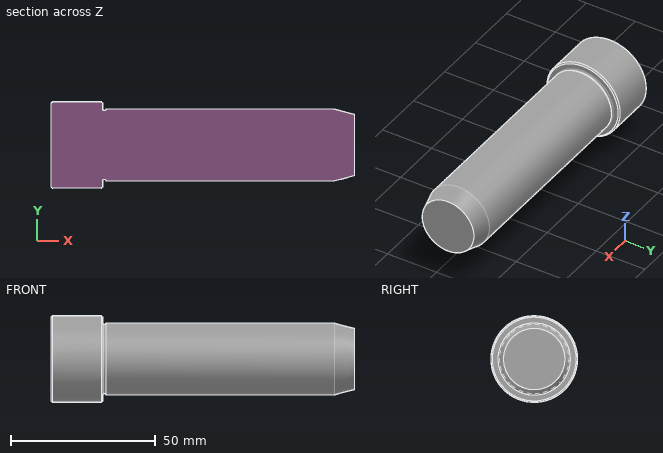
import cadquery as cq
import math

total_length = 105.0
head_diameter = 30.0
head_length = 18.0
head_chamfer = 0.5
shank_diameter = 25.0

groove_width = 1.0
groove_depth = 0.5

lead_length = 7.0
lead_angle = 15.0

head_radius = head_diameter / 2
shank_radius = shank_diameter / 2
tip_radius = shank_radius - lead_length * math.tan(math.radians(lead_angle))
shank_start = head_length + groove_width
lead_start = total_length - lead_length

profile = (
    cq.Workplane("XY")
    .moveTo(0, 0)
    .lineTo(0, head_radius - head_chamfer)
    .lineTo(head_chamfer, head_radius)
    .lineTo(head_length - head_chamfer, head_radius)
    .lineTo(head_length, head_radius - head_chamfer)
    .lineTo(head_length, shank_radius)
    .threePointArc(
        (head_length + groove_width / 2, shank_radius - groove_depth),
        (shank_start, shank_radius),
    )
    .lineTo(lead_start, shank_radius)
    .lineTo(total_length, tip_radius)
    .lineTo(total_length, 0)
    .close()
)

result = profile.revolve(360, (0, 0, 0), (1, 0, 0))